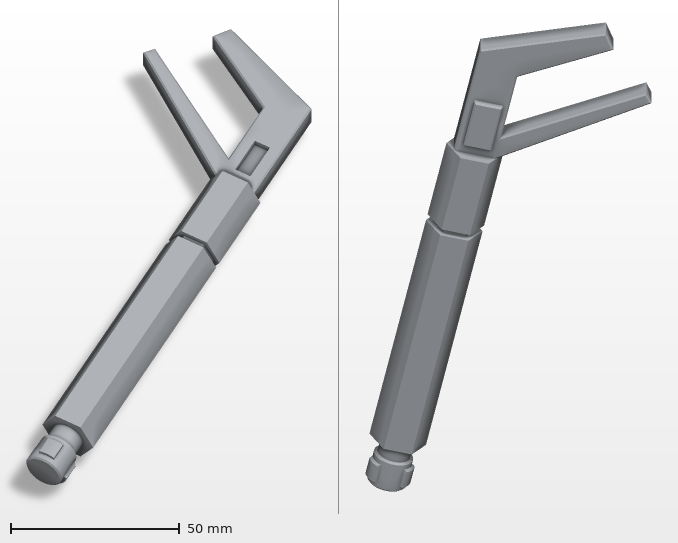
import cadquery as cq
import math

total_length = 165.8

knob_diameter = 12.0
knob_length = 10.0
knob_chamfer = 0.5
stem_diameter = 10.0
stem_length = 5.0
lug_count = 3
lug_width = 5.0
lug_length = 6.0
lug_start = 2.0
lug_height = 1.0
lug_ramp = 0.5

hex_flats = 15.0
barrel_length = 75.0
neck_flats = 11.5
neck_length = 2.0
collar_length = 25.0

fork_thickness = 7.5
fork_edge_chamfer = 0.5
shank_width = 12.8
shoulder_y = 35.2
upper_tip_outer_x = -28.7
upper_tip_inner = (-32.2, 44.0)
throat_top_y = 28.5
throat_bottom_y = 7.5
lower_tip_inner = (-45.0, 31.7)
lower_tip_outer_y = 28.7
lower_root_x = -6.6
reach = 47.3

pocket_width = 5.1
pocket_length = 12.0
pocket_depth = 2.3
pocket_center_y = 10.6
pad_margin = 1.7
pad_height = 1.8
pad_chamfer = 0.5

barrel_start = knob_length + stem_length
neck_start = barrel_start + barrel_length
collar_start = neck_start + neck_length
fork_start = collar_start + collar_length
fork_length = total_length - fork_start


def section_plane(y):
    """Plane across the axis at y; extrusions from it go toward +Y."""
    return cq.Workplane(cq.Plane(origin=(0, y, 0), xDir=(1, 0, 0), normal=(0, 1, 0)))


def hex_bar(flats, start, length):
    """Hexagonal bar with flats at top and bottom and corners toward +X and -X."""
    corner_diameter = flats / math.cos(math.pi / 6)
    return section_plane(start).polygon(6, corner_diameter).extrude(length)


def round_bar(diameter, start, length):
    return section_plane(start).circle(diameter / 2).extrude(length)


def make_lug(angle):
    """Curved lug on the knob, ramped at the end that faces the barrel."""
    outer_radius = knob_diameter / 2 + lug_height
    block = (
        cq.Workplane("XY")
        .box(lug_width, lug_length, outer_radius, centered=(True, False, False))
        .translate((0, lug_start, 0))
    )
    sleeve = round_bar(2 * outer_radius, lug_start, lug_length).faces(">Y").chamfer(lug_ramp)
    return block.intersect(sleeve).rotate((0, 0, 0), (0, 1, 0), angle)


def make_knob():
    knob = round_bar(knob_diameter, 0, knob_length).edges().chamfer(knob_chamfer)
    knob = knob.union(round_bar(stem_diameter, knob_length, stem_length))
    for i in range(lug_count):
        knob = knob.union(make_lug(i * 360 / lug_count))
    return knob


def make_barrel():
    return hex_bar(hex_flats, barrel_start, barrel_length)


def make_collar():
    neck = hex_bar(neck_flats, neck_start, neck_length)
    return neck.union(hex_bar(hex_flats, collar_start, collar_length))


def make_fork():
    """Two-pronged fork on the end of the collar, with the pocket and the pad."""
    half_width = shank_width / 2
    outline = [
        (half_width, 0),
        (half_width, shoulder_y),
        (upper_tip_outer_x, fork_length),
        upper_tip_inner,
        (-half_width, throat_top_y),
        (-half_width, throat_bottom_y),
        lower_tip_inner,
        (-reach, lower_tip_outer_y),
        (lower_root_x, 0),
    ]
    fork = cq.Workplane("XY").polyline(outline).close().extrude(fork_thickness / 2, both=True)
    fork = fork.faces("<Z or >Z").edges("not <Y").chamfer(fork_edge_chamfer)

    pocket = (
        cq.Workplane("XY")
        .box(pocket_width, pocket_length, pocket_depth)
        .translate((0, pocket_center_y, (fork_thickness - pocket_depth) / 2))
    )
    pad = (
        cq.Workplane("XY")
        .box(pocket_width + 2 * pad_margin, pocket_length + 2 * pad_margin, pad_height)
        .faces("<Z")
        .chamfer(pad_chamfer)
        .translate((0, pocket_center_y, -(fork_thickness + pad_height) / 2))
    )
    return fork.cut(pocket).union(pad).translate((0, fork_start, 0))


knob = make_knob()
barrel = make_barrel()
collar = make_collar()
fork = make_fork()

result = cq.Compound.makeCompound([knob.val(), barrel.val(), collar.val(), fork.val()])